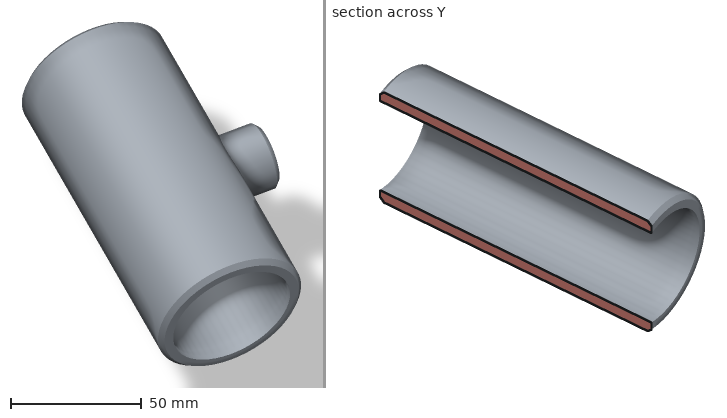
import cadquery as cq

run_length = 127.0
run_outer_diameter = 60.325
run_bore_diameter = 49.25

branch_diameter = 26.67
branch_reach = 44.45

end_bevel = 1.9


def run_cylinder(diameter):
    """Cylinder along X over the full length of the run."""
    return cq.Workplane("YZ").circle(diameter / 2).extrude(run_length / 2, both=True)


def beveled_run():
    """Outer body of the run, beveled at both ends."""
    return run_cylinder(run_outer_diameter).faces("<X or >X").edges().chamfer(end_bevel)


def beveled_branch():
    """Branch stub from the run axis out to +Y, beveled at its free end."""
    stub = cq.Workplane("XZ").circle(branch_diameter / 2).extrude(-branch_reach)
    return stub.faces(">Y").edges().chamfer(end_bevel)


result = beveled_run().union(beveled_branch()).cut(run_cylinder(run_bore_diameter))